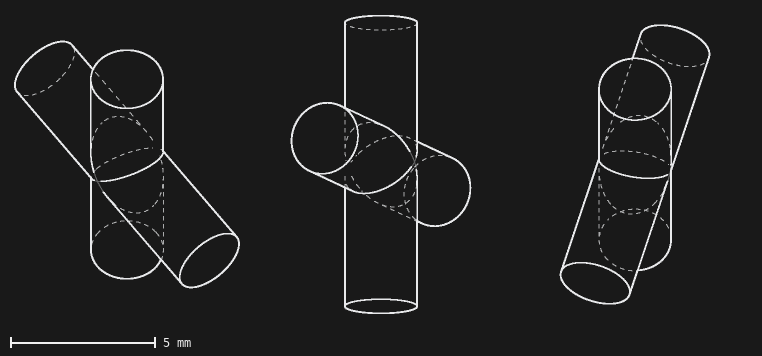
import cadquery as cq

bar_length = 10.0
bar_diameter = 2.5


def centered_bar(plane):
    """Round bar centred on the origin, running along the normal of the plane."""
    return cq.Workplane(plane).circle(bar_diameter / 2).extrude(bar_length / 2, both=True)


bar_along_x = centered_bar("YZ")
bar_along_z = centered_bar("XY")

result = bar_along_x.union(bar_along_z)